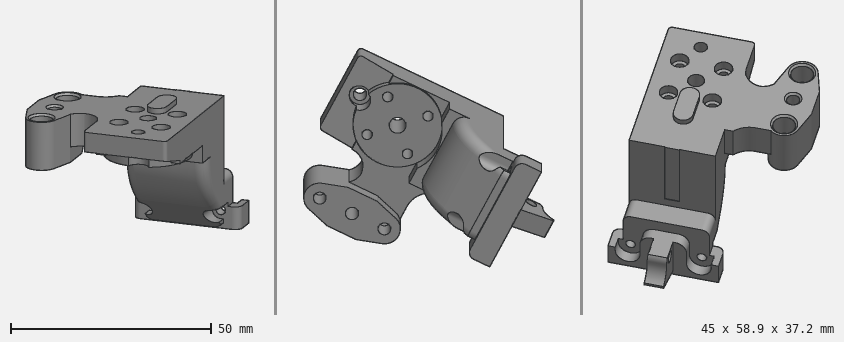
import cadquery as cq
import math


body_half_width = 11.1
plate_front_y = -16.35
plate_corner_radius = 1.0
body_back_y = 24.0
plate_thickness = 8.6
plate_edge_thickness = 5.2
slope_end_z = -7.7
slope_angle = 15.0
pad_height = 1.4
pad_length = 11.5
pad_width = 5.0
pad_center_y = 9.65
back_rib_width = 3.75
back_rib_depth = 0.2
back_rib_height = 18.7

motor_radius = body_half_width
motor_face_z = -9.3
motor_block_front_y = 8.9
motor_block_bottom_z = -13.2
motor_hole_offset = 5.65
motor_hole_diameter = 2.6
motor_counterbore_diameter = 4.6
motor_counterbore_depth = 2.55
shaft_hole_diameter = 4.2
pin_hole_x = 1.7
pin_hole_y = -11.4
pin_hole_diameter = 3.3
pin_counterbore_diameter = 5.35
pin_counterbore_top_z = -5.2

ear_x = -25.0
ear_half_width = 5.75
ear_flat_half_length = 4.05
ear_height = 12.6
ear_boss_spacing = 18.1
ear_boss_diameter = 8.0
ear_hole_diameter = 3.2
ear_counterbore_diameter = 5.7
ear_counterbore_depth = 6.3
ear_middle_hole_diameter = 3.3
ear_chamfer = 0.55
arm_back_y = 12.05
arm_step_y = 14.6
arm_step_x = -13.3
arm_arc_radius = 6.4
notch_radius = 5.0
notch_top_y = -2.1
notch_corner_y = -3.8

leg_front_y = 11.4
leg_curve_top_z = -13.55
leg_curve_radius = 19.9
leg_curve_angle = 45.0
leg_fillet = 3.0
leg_back_y = 30.0
leg_bottom_z = -34.9
ledge_top_z = -21.1
ledge_fillet = 2.05
selection_margin = 0.6

flange_half_width = 14.25
flange_front_y = 26.6
flange_back_y = 33.05
flange_top_z = -29.85
flange_bottom_z = -35.8
flange_fillet = 2.0
screw_x = 9.2
screw_z = -31.0
screw_hole_diameter = 2.5
screw_access_diameter = 4.5
screw_access_edge_x = 9.9
screw_pocket_radius = 3.2
bridge_top_z = -24.2
bridge_fillet = 3.0

lever_width = 5.0
lever_crown_end_y = 38.65
lever_crown_middle = (39.3, -25.25)
lever_hollow_start = (39.4, -26.3)
lever_hollow_middle = (40.1, -28.65)
lever_hollow_end = (42.15, -30.5)
lever_tip_y = 42.5
lever_tip_top_z = -30.65
lever_tip_bottom_z = -31.3
lever_underside_end = (42.25, -31.5)
lever_root_z = -34.65
lever_hole_y = 36.1
lever_hole_z = -26.35
lever_hole_diameter = 3.1


def box(x_range, y_range, z_range):
    """Block between the given limits along each axis."""
    size = [high - low for low, high in (x_range, y_range, z_range)]
    corner = (x_range[0], y_range[0], z_range[0])
    return cq.Workplane("XY").box(*size, centered=False).translate(corner)


def post(x, y, diameter, bottom_z, top_z):
    """Vertical cylinder."""
    base = cq.Workplane("XY", origin=(x, y, bottom_z))
    return base.circle(diameter / 2).extrude(top_z - bottom_z)


def rod(x, z, diameter, front_y, back_y):
    """Cylinder along Y."""
    base = cq.Workplane("XZ", origin=(x, front_y, z))
    return base.circle(diameter / 2).extrude(front_y - back_y)


def side_extrusion(profile, width):
    """Closed Y-Z profile extruded to both sides of the middle plane."""
    return profile.close().extrude(width / 2, both=True)


def chamfered_mouth(x, y, diameter):
    """Cone that opens a hole by 45 degrees at the top face."""
    base = cq.Workplane("XY", origin=(x, y, 0))
    return base.circle(diameter / 2 + ear_chamfer).extrude(-ear_chamfer, taper=45)


def make_plate():
    """Plate with its sloped front underside and the motor face."""
    plate = box(
        (-body_half_width, body_half_width), (plate_front_y, body_back_y), (-plate_thickness, 0)
    )
    plate = plate.edges("|Z and <Y").fillet(plate_corner_radius)
    slope_run = (-plate_edge_thickness - slope_end_z) / math.tan(math.radians(slope_angle))
    slope_cut = (
        cq.Workplane("YZ")
        .moveTo(plate_front_y, -plate_edge_thickness)
        .lineTo(plate_front_y + slope_run, slope_end_z)
        .lineTo(plate_front_y + slope_run, motor_face_z)
        .lineTo(plate_front_y, motor_face_z)
    )
    plate = plate.cut(side_extrusion(slope_cut, 2 * body_half_width))
    return plate.union(post(0, 0, 2 * motor_radius, motor_face_z, -plate_edge_thickness))


def make_arm():
    """Arm between plate and ear, with a rounded notch in front and a swept step behind."""
    ear_inner_x = ear_x + ear_half_width
    notch_x = -body_half_width - notch_radius
    notch_y = notch_top_y - notch_radius
    diagonal = notch_radius * math.sqrt(0.5)
    step_rise = arm_step_y - arm_back_y
    arc_start_x = arm_step_x - math.sqrt(arm_arc_radius**2 - (arm_arc_radius - step_rise) ** 2)
    outline = (
        cq.Workplane("XY")
        .moveTo(0, notch_y)
        .lineTo(-body_half_width, notch_y)
        .threePointArc((notch_x + diagonal, notch_y + diagonal), (notch_x, notch_top_y))
        .radiusArc((ear_inner_x, notch_corner_y), -notch_radius)
        .lineTo(ear_x, notch_corner_y)
        .lineTo(ear_x, arm_back_y)
        .lineTo(arc_start_x, arm_back_y)
        .radiusArc((arm_step_x, arm_step_y), -arm_arc_radius)
        .lineTo(0, arm_step_y)
    )
    return outline.close().extrude(-plate_thickness)


def make_ear():
    """Tall ear: two round bosses joined by a block whose slanted sides run tangent to them."""
    boss_y = ear_boss_spacing / 2
    boss_radius = ear_boss_diameter / 2
    corner_rise = boss_y - ear_flat_half_length
    tangent_angle = math.atan2(-corner_rise, ear_half_width) + math.acos(
        boss_radius / math.hypot(ear_half_width, corner_rise)
    )
    tangent_x = boss_radius * math.cos(tangent_angle)
    tangent_y = boss_y + boss_radius * math.sin(tangent_angle)
    quarter = [(tangent_x, tangent_y), (ear_half_width, ear_flat_half_length)]
    right_side = quarter + [(x, -y) for x, y in reversed(quarter)]
    left_side = [(-x, y) for x, y in reversed(right_side)]
    ear = (
        cq.Workplane("XY", origin=(ear_x, 0, 0))
        .polyline(right_side + left_side)
        .close()
        .extrude(-ear_height)
    )
    for y in (-boss_y, boss_y):
        ear = ear.union(post(ear_x, y, ear_boss_diameter, -ear_height, 0))
    return ear


def leg_curve_point(angle):
    """Y and Z on the leg's front curve after turning the given angle from the vertical."""
    turn = math.radians(angle)
    y = leg_front_y + leg_curve_radius * (1 - math.cos(turn))
    return y, leg_curve_top_z - leg_curve_radius * math.sin(turn)


def make_leg():
    """Leg that drops behind the motor, curves back by 45 degrees and carries the rear ledge."""
    curve_middle = leg_curve_point(leg_curve_angle / 2)
    curve_end = leg_curve_point(leg_curve_angle)
    toe_run = (curve_end[1] - leg_bottom_z) / math.tan(math.radians(leg_curve_angle))
    toe_y = curve_end[0] + toe_run
    profile = (
        cq.Workplane("YZ")
        .moveTo(leg_front_y, -plate_thickness)
        .lineTo(leg_front_y, leg_curve_top_z)
        .threePointArc(curve_middle, curve_end)
        .lineTo(toe_y, leg_bottom_z)
        .lineTo(leg_back_y, leg_bottom_z)
        .lineTo(leg_back_y, ledge_top_z)
        .lineTo(body_back_y, ledge_top_z)
        .lineTo(body_back_y, -plate_thickness)
    )
    leg = side_extrusion(profile, 2 * body_half_width)
    leg = leg.edges(
        cq.selectors.BoxSelector(
            (-2 * body_half_width, leg_front_y - selection_margin, leg_bottom_z - selection_margin),
            (2 * body_half_width, toe_y - selection_margin, -plate_thickness - selection_margin),
        )
    )
    leg = leg.edges("<X or >X").fillet(leg_fillet)
    leg = leg.edges(
        cq.selectors.BoxSelector(
            (-2 * body_half_width, body_back_y + selection_margin, ledge_top_z - selection_margin),
            (2 * body_half_width, leg_back_y - selection_margin, ledge_top_z + selection_margin),
        )
    )
    leg = leg.edges("|Y").fillet(ledge_fillet)
    rounded_foot = box(
        (-body_half_width, body_half_width), (leg_front_y, leg_back_y), (leg_bottom_z, 0)
    )
    rounded_foot = rounded_foot.edges("|Y and <Z").fillet(leg_fillet)
    return leg.intersect(rounded_foot)


def make_motor_block():
    """Block in front of the leg, hollowed to the motor's round shape."""
    block = box(
        (-body_half_width, body_half_width),
        (motor_block_front_y, body_back_y),
        (motor_block_bottom_z, -plate_thickness),
    )
    return block.cut(post(0, 0, 2 * motor_radius, motor_block_bottom_z, motor_face_z))


def make_flange():
    """Foot flange with a raised bridge in the middle of its back."""
    flange = box(
        (-flange_half_width, flange_half_width),
        (flange_front_y, flange_back_y),
        (flange_bottom_z, flange_top_z),
    )
    flange = flange.edges("|Z and <Y").fillet(flange_fillet)
    bridge_half_width = screw_x - screw_pocket_radius
    bridge = box(
        (-bridge_half_width, bridge_half_width),
        (leg_back_y, flange_back_y),
        (flange_bottom_z, bridge_top_z),
    )
    return flange.union(bridge.edges("|Y and >Z").fillet(bridge_fillet))


def make_lever():
    """Pierced lever with a hollow back that narrows to a blunt tip."""
    profile = (
        cq.Workplane("YZ")
        .moveTo(leg_back_y, bridge_top_z)
        .lineTo(lever_crown_end_y, bridge_top_z)
        .threePointArc(lever_crown_middle, lever_hollow_start)
        .threePointArc(lever_hollow_middle, lever_hollow_end)
        .lineTo(lever_tip_y, lever_tip_top_z)
        .lineTo(lever_tip_y, lever_tip_bottom_z)
        .lineTo(*lever_underside_end)
        .lineTo(flange_back_y, lever_root_z)
        .lineTo(leg_back_y, lever_root_z)
    )
    lever = side_extrusion(profile, lever_width)
    hole = cq.Workplane("YZ").center(lever_hole_y, lever_hole_z).circle(lever_hole_diameter / 2)
    return lever.cut(hole.extrude(lever_width, both=True))


def cut_screw_seat(part, side):
    """Screw hole through the foot, its access cut in front and its round-bottomed pocket behind."""
    x = side * screw_x
    access_radius = screw_access_diameter / 2
    outer_x = side * body_half_width
    edge_x = side * screw_access_edge_x
    access = rod(x, screw_z, screw_access_diameter, leg_front_y, flange_front_y)
    beside_screw = box(
        sorted((x, outer_x)),
        (leg_front_y, flange_front_y),
        (screw_z - access_radius, screw_z + access_radius),
    )
    beside_foot = box(
        sorted((edge_x, outer_x)), (leg_front_y, flange_front_y), (flange_bottom_z, screw_z)
    )
    pocket = rod(x, screw_z, 2 * screw_pocket_radius, leg_back_y, flange_back_y)
    pocket_mouth = box(
        (x - screw_pocket_radius, x + screw_pocket_radius),
        (leg_back_y, flange_back_y),
        (screw_z, flange_top_z),
    )
    hole = rod(x, screw_z, screw_hole_diameter, leg_front_y, flange_back_y)
    for tool in (access, beside_screw, beside_foot, pocket, pocket_mouth, hole):
        part = part.cut(tool)
    return part


def cut_plate_holes(part):
    """Counterbored motor screw holes, shaft hole, and a pin hole counterbored from below."""
    for x in (-motor_hole_offset, motor_hole_offset):
        for y in (-motor_hole_offset, motor_hole_offset):
            part = part.cut(post(x, y, motor_hole_diameter, motor_face_z, 0))
            part = part.cut(post(x, y, motor_counterbore_diameter, -motor_counterbore_depth, 0))
    part = part.cut(post(0, 0, shaft_hole_diameter, motor_face_z, 0))
    part = part.cut(post(pin_hole_x, pin_hole_y, pin_hole_diameter, motor_face_z, 0))
    return part.cut(
        post(pin_hole_x, pin_hole_y, pin_counterbore_diameter, motor_face_z, pin_counterbore_top_z)
    )


def cut_ear_holes(part):
    """Two counterbored holes and a plain hole between them, all chamfered at the top."""
    for y in (-ear_boss_spacing / 2, ear_boss_spacing / 2):
        part = part.cut(post(ear_x, y, ear_hole_diameter, -ear_height, 0))
        part = part.cut(post(ear_x, y, ear_counterbore_diameter, -ear_counterbore_depth, 0))
        part = part.cut(chamfered_mouth(ear_x, y, ear_counterbore_diameter))
    part = part.cut(post(ear_x, 0, ear_middle_hole_diameter, -ear_height, 0))
    return part.cut(chamfered_mouth(ear_x, 0, ear_middle_hole_diameter))


def make_locating_pad():
    """Raised oblong pad on top of the plate."""
    base = cq.Workplane("XY").center(0, pad_center_y)
    return base.slot2D(pad_length, pad_width, 90).extrude(pad_height)


def make_back_rib():
    """Thin upright strip on the back of the body."""
    half_width = back_rib_width / 2
    return box(
        (-half_width, half_width),
        (body_back_y, body_back_y + back_rib_depth),
        (-back_rib_height, 0),
    )


part = make_plate()
for feature in (
    make_arm(),
    make_ear(),
    make_motor_block(),
    make_leg(),
    make_flange(),
    make_locating_pad(),
    make_back_rib(),
):
    part = part.union(feature)
for side in (-1, 1):
    part = cut_screw_seat(part, side)
part = part.union(make_lever())
part = cut_plate_holes(part)
result = cut_ear_holes(part)